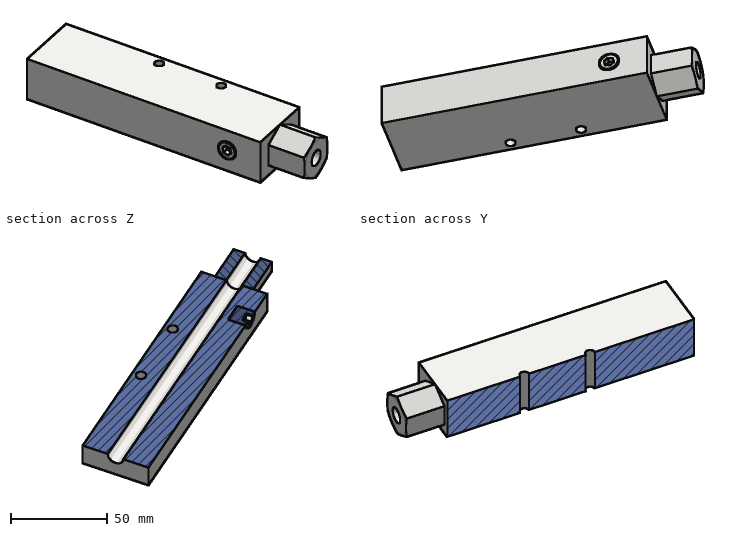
import cadquery as cq
import math

total_length = 165.4
block_length = 143.0
block_width = 38
block_height = 25.5
front_face_y = -block_width / 2

bore_diameter = 8.8

mount_hole_diameter = 5.1
mount_hole_first_x = 60.2
mount_hole_spacing = 38
mount_hole_edge_distance = 5
mount_hole_y = block_width / 2 - mount_hole_edge_distance

hex_length = total_length - block_length
hex_corner_diameter = 25.6
hex_end_radius = 10.7
hex_chamfer_length = 0.5

screw_x = 122.5
screw_diameter = 10.7
screw_length = 10
screw_chamfer = 0.5
socket_corner_diameter = 5.6
socket_depth = 3.3
socket_turn = 43


def front_plane():
    """Plane on the front face at the screw axis, with its normal pointing into the block."""
    return cq.Plane(origin=(screw_x, front_face_y, 0), xDir=(1, 0, 0), normal=(0, 1, 0))


def bore():
    return cq.Workplane("YZ").circle(bore_diameter / 2).extrude(total_length)


def make_block():
    block = cq.Workplane("XY").box(
        block_length, block_width, block_height, centered=(False, True, True)
    )
    mount_holes = (
        cq.Workplane("XY", origin=(0, mount_hole_y, -block_height / 2))
        .pushPoints([(mount_hole_first_x + i * mount_hole_spacing, 0) for i in range(2)])
        .circle(mount_hole_diameter / 2)
        .extrude(block_height)
    )
    screw_hole = cq.Workplane(front_plane()).circle(screw_diameter / 2).extrude(screw_length)
    return block.cut(mount_holes).cut(screw_hole).cut(bore())


def make_hex_fitting():
    hexagon = (
        cq.Workplane("YZ", origin=(block_length, 0, 0))
        .transformed(rotate=(0, 0, 90))
        .polygon(6, hex_corner_diameter)
        .extrude(hex_length)
    )
    corner_radius = hex_corner_diameter / 2
    envelope = (
        cq.Workplane("XY")
        .moveTo(block_length, 0)
        .lineTo(block_length, corner_radius)
        .lineTo(total_length - hex_chamfer_length, corner_radius)
        .lineTo(total_length, hex_end_radius)
        .lineTo(total_length, 0)
        .close()
        .revolve(360, (0, 0, 0), (1, 0, 0))
    )
    return hexagon.intersect(envelope).cut(bore())


def make_set_screw():
    screw = (
        cq.Workplane(front_plane())
        .circle(screw_diameter / 2)
        .extrude(screw_length)
        .faces("<Y")
        .chamfer(screw_chamfer)
    )
    socket_radius = socket_corner_diameter / 2
    corner_angles = [math.radians(-socket_turn + i * 60) for i in range(6)]
    socket = (
        cq.Workplane(front_plane())
        .polyline([(socket_radius * math.cos(a), socket_radius * math.sin(a)) for a in corner_angles])
        .close()
        .extrude(socket_depth)
    )
    return screw.cut(socket)


block = make_block()
hex_fitting = make_hex_fitting()
set_screw = make_set_screw()

result = cq.Compound.makeCompound([block.val(), hex_fitting.val(), set_screw.val()])